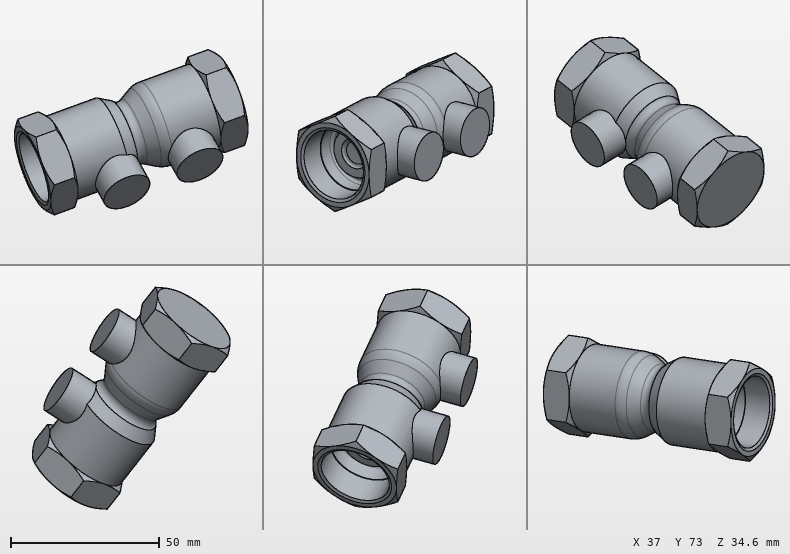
import cadquery as cq
import math

total_length = 73.0
body_radius = 15.0

hex_across_flats = 2 * body_radius
hex_length = 10.1
hex_corner_radius = hex_across_flats / math.sqrt(3)
hex_chamfer_angle = math.radians(30)

front_body_end = 29.0
front_cone_end = 33.4
rear_cone_start = 37.15
rear_cone_end = 41.3
rear_body_start = 45.05
waist_cone_angle = math.radians(30)

stub_diameter = 17.0
stub_end_x = 22.0
stub_rear_y = 52.0
stub_spacing = 27.0

mouth_radius = 13.25
bore_radius = 24.5 / 2
inner_bore_radius = 24.0 / 2
mouth_chamfer_depth = 0.55
bore_step_depth = 10.0
bore_floor_depth = 16.4
bore_floor_fillet = 1.1

seat_base_radius = 20.3 / 2
seat_top_radius = 8.6
seat_top_depth = 12.8
socket_mouth_radius = 5.4
socket_radius = 4.65
socket_bottom_radius = 4.1
socket_countersink_depth = socket_mouth_radius - socket_radius
socket_bevel_depth = 0.3
socket_tip_depth = 0.2


def revolve_about_y(profile):
    """Turn a closed profile, drawn as (radius, y), about the Y axis."""
    return profile.close().revolve(360, (0, 0, 0), (0, 1, 0))


def make_body():
    """Two round halves joined by a waist: cone, neck arc, cone and rounded shoulder."""
    front_cone_drop = (front_cone_end - front_body_end) * math.tan(waist_cone_angle)
    front_cone_radius = body_radius - front_cone_drop

    shoulder_drop = (rear_body_start - rear_cone_end) * math.tan(waist_cone_angle / 2)
    rear_cone_wide_radius = body_radius - shoulder_drop
    rear_cone_drop = (rear_cone_end - rear_cone_start) * math.tan(waist_cone_angle)
    rear_cone_narrow_radius = rear_cone_wide_radius - rear_cone_drop

    return revolve_about_y(
        cq.Workplane("XY")
        .moveTo(rear_cone_wide_radius, rear_cone_end)
        .lineTo(rear_cone_narrow_radius, rear_cone_start)
        .tangentArcPoint((front_cone_radius, front_cone_end), relative=False)
        .lineTo(body_radius, front_body_end)
        .lineTo(body_radius, 0)
        .lineTo(0, 0)
        .lineTo(0, total_length)
        .lineTo(body_radius, total_length)
        .lineTo(body_radius, rear_body_start)
        .tangentArcPoint((rear_cone_wide_radius, rear_cone_end), relative=False)
    )


def make_hex_end(start_y):
    """Hexagon along Y, with corners up and down, chamfered at both faces."""
    corners = []
    for i in range(6):
        angle = math.radians(90 + 60 * i)
        corners.append((hex_corner_radius * math.cos(angle), hex_corner_radius * math.sin(angle)))
    prism = (
        cq.Workplane("XZ", origin=(0, start_y, 0))
        .polyline(corners)
        .close()
        .extrude(-hex_length)
    )

    face_radius = hex_across_flats / 2
    chamfer_length = (hex_corner_radius - face_radius) * math.tan(hex_chamfer_angle)
    end_y = start_y + hex_length
    envelope = revolve_about_y(
        cq.Workplane("XY")
        .moveTo(0, start_y)
        .lineTo(face_radius, start_y)
        .lineTo(hex_corner_radius, start_y + chamfer_length)
        .lineTo(hex_corner_radius, end_y - chamfer_length)
        .lineTo(face_radius, end_y)
        .lineTo(0, end_y)
    )
    return prism.intersect(envelope)


def make_stub(center_y):
    """Solid round stub pointing along +X."""
    return (
        cq.Workplane("YZ")
        .center(center_y, 0)
        .circle(stub_diameter / 2)
        .extrude(stub_end_x)
    )


def make_bore():
    """Stepped bore with a rounded floor corner, around the conical seat and its socket."""
    corner_inset = bore_floor_fillet * (1 - math.sqrt(0.5))
    socket_bevel_start = seat_top_depth + socket_countersink_depth
    socket_bottom = socket_bevel_start + socket_bevel_depth
    return revolve_about_y(
        cq.Workplane("XY")
        .moveTo(0, 0)
        .lineTo(mouth_radius, 0)
        .lineTo(bore_radius, mouth_chamfer_depth)
        .lineTo(bore_radius, bore_step_depth)
        .lineTo(inner_bore_radius, bore_step_depth)
        .lineTo(inner_bore_radius, bore_floor_depth - bore_floor_fillet)
        .threePointArc(
            (inner_bore_radius - corner_inset, bore_floor_depth - corner_inset),
            (inner_bore_radius - bore_floor_fillet, bore_floor_depth),
        )
        .lineTo(seat_base_radius, bore_floor_depth)
        .lineTo(seat_top_radius, seat_top_depth)
        .lineTo(socket_mouth_radius, seat_top_depth)
        .lineTo(socket_radius, socket_bevel_start)
        .lineTo(socket_bottom_radius, socket_bottom)
        .lineTo(0, socket_bottom + socket_tip_depth)
    )


result = make_body()
for hex_start in (0, total_length - hex_length):
    result = result.union(make_hex_end(hex_start))
for stub_y in (stub_rear_y, stub_rear_y - stub_spacing):
    result = result.union(make_stub(stub_y))
result = result.cut(make_bore())